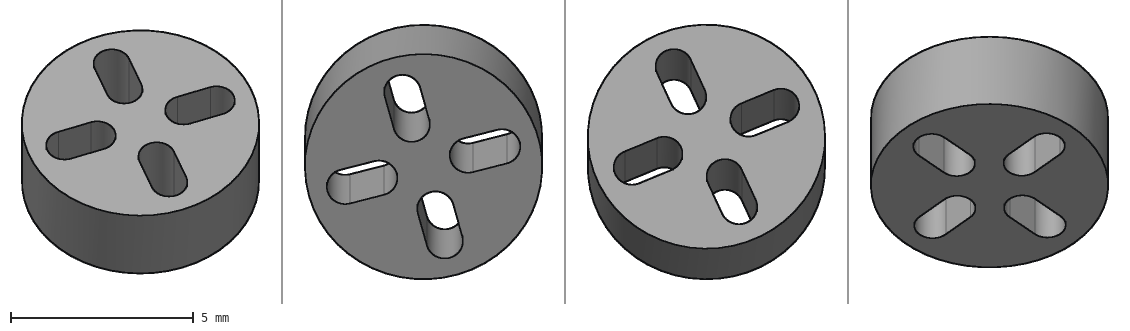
import cadquery as cq

disc_diameter = 6.5
disc_height = 2.54

slot_count = 4
slot_length = 1.96
slot_width = 1.0
slot_center_radius = 1.74

disc = cq.Workplane("XY").circle(disc_diameter / 2).extrude(disc_height)

slots = (
    cq.Workplane("XY")
    .polarArray(slot_center_radius, 0, 360, slot_count)
    .slot2D(slot_length, slot_width)
    .extrude(disc_height)
)

result = disc.cut(slots)